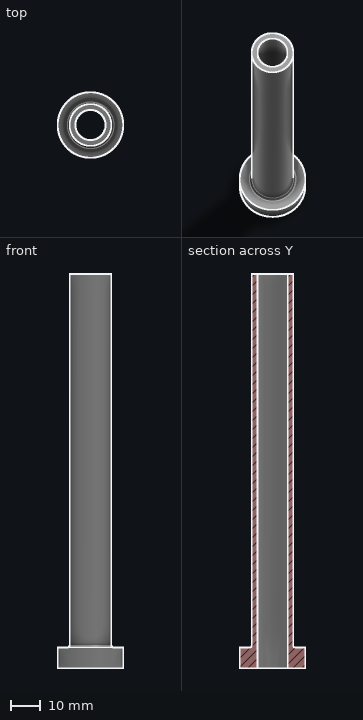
import cadquery as cq

total_length = 132.0
head_diameter = 22.0
head_height = 7.0
shank_diameter = 14.0
bore_diameter = 10.0
neck_fillet_radius = 0.8

head = cq.Workplane("XY").circle(head_diameter / 2).extrude(head_height)
shank = cq.Workplane("XY").circle(shank_diameter / 2).extrude(total_length)

sleeve = head.union(shank)
neck_corner = cq.selectors.BoxSelector(
    (-shank_diameter, -shank_diameter, head_height - neck_fillet_radius),
    (shank_diameter, shank_diameter, head_height + neck_fillet_radius),
)
sleeve = sleeve.edges(neck_corner).edges(cq.selectors.RadiusNthSelector(0)).fillet(neck_fillet_radius)

bore = cq.Workplane("XY").circle(bore_diameter / 2).extrude(total_length)
result = sleeve.cut(bore)